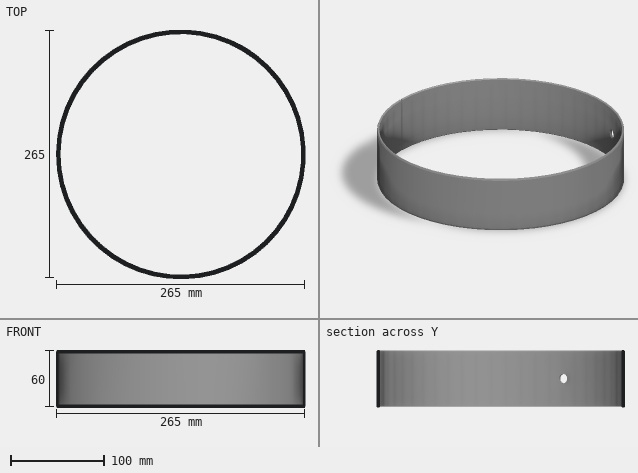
import cadquery as cq
import math

OUTER_DIAMETER = 265.0
WALL_THICKNESS = 2.5
HEIGHT = 60.0

GAP_ANGLE = 1.0
BAND_START_ANGLE = 180.0

OUTER_CHAMFER_HEIGHT = 1.8
OUTER_CHAMFER_ANGLE = 20.0
INNER_CHAMFER = 0.8

HOLE_DIAMETER = 10.0
HOLE_ANGLE = 59.0
HOLE_HEIGHT = HEIGHT / 2

OUTER_RADIUS = OUTER_DIAMETER / 2
INNER_RADIUS = OUTER_RADIUS - WALL_THICKNESS
OUTER_CHAMFER_DEPTH = OUTER_CHAMFER_HEIGHT * math.tan(math.radians(OUTER_CHAMFER_ANGLE))

AXIS_BASE = (0, 0, 0)
AXIS_TOP = (0, 0, 1)


def make_band():
    """Open ring standing on Z = 0, revolved from the chamfered wall section."""
    rim_outer_radius = OUTER_RADIUS - OUTER_CHAMFER_DEPTH
    rim_inner_radius = INNER_RADIUS + INNER_CHAMFER
    wall_section = [
        (rim_outer_radius, 0),
        (OUTER_RADIUS, OUTER_CHAMFER_HEIGHT),
        (OUTER_RADIUS, HEIGHT - OUTER_CHAMFER_HEIGHT),
        (rim_outer_radius, HEIGHT),
        (rim_inner_radius, HEIGHT),
        (INNER_RADIUS, HEIGHT - INNER_CHAMFER),
        (INNER_RADIUS, INNER_CHAMFER),
        (rim_inner_radius, 0),
    ]
    band = (
        cq.Workplane("XZ")
        .polyline(wall_section)
        .close()
        .revolve(360 - GAP_ANGLE, (0, 0, 0), (0, 1, 0))
    )
    return band.rotate(AXIS_BASE, AXIS_TOP, BAND_START_ANGLE)


def make_hole():
    """Radial cutter running from the band axis out through one side of the wall."""
    cutter = (
        cq.Workplane("YZ")
        .center(0, HOLE_HEIGHT)
        .circle(HOLE_DIAMETER / 2)
        .extrude(OUTER_DIAMETER)
    )
    return cutter.rotate(AXIS_BASE, AXIS_TOP, HOLE_ANGLE)


result = make_band().cut(make_hole())